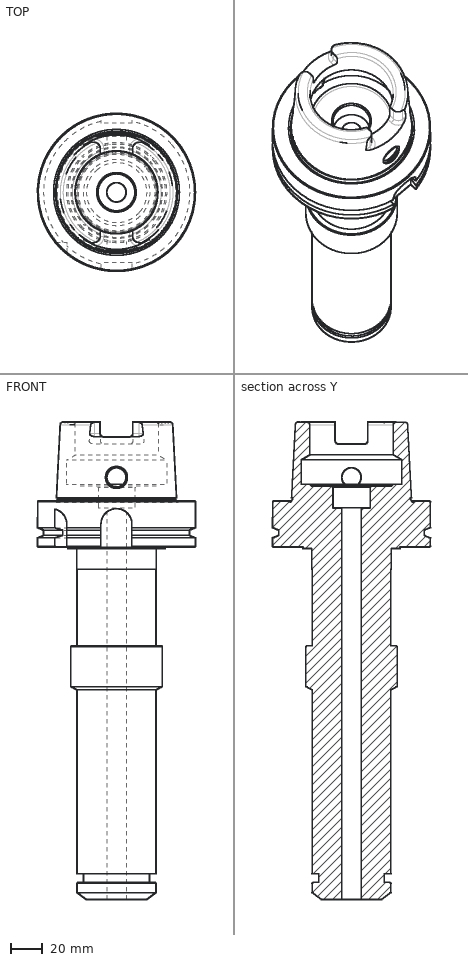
import cadquery as cq
import math


total_length = 302.0
taper_length = 49.8
flange_height = 29.3
flange_top = total_length - taper_length
flange_bottom = flange_top - flange_height

taper_base_radius = 38.0
taper_slope = 1 / 20
taper_neck_radius = 37.5
taper_neck_height = 1.8
taper_tip_radius = taper_base_radius - taper_slope * (taper_length - taper_neck_height)
rim_rounding = 1.8
relief_radius = 40.0
relief_floor_radius = 38.7
relief_top = 1.0
relief_depth = 1.0

lip_radius = 26.3
lip_depth = 20.8
recess_radius = 31.7
recess_cone_angle = 60
bore_floor = flange_top + 9.5
floor_rim_radius = 26.0
floor_rounding = 1.2
seat_radius = 25.0 / 2
seat_depth = 14.0
seat_chamfer = 1.0
through_radius = 12.0 / 2

flange_radius = 100.0 / 2
flange_chamfer = 0.5
groove_centre = flange_top - 20.2
groove_floor_radius = 46.2
groove_floor_width = 3.3
groove_mouth_width = 6.3
boss_radius = 30.8
boss_height = 1.0

shank_radius = 50.0 / 2
collar_radius = 58.0 / 2
collar_top = 160.7
collar_bottom = 134.7
collar_top_chamfer = 0.5
collar_cone_height = 2.0
upper_shank_radius = 50.5 / 2
upper_shank_bottom = 209.0
neck_radius = 42.0 / 2
neck_top = 16.3
neck_bottom = 11.2
head_top_chamfer = 1.0
tip_radius = 19.0
tip_cone_height = 4.5

drive_slot_half_width = 10.3
drive_slot_end_radius = 4.0
drive_slot_shoulder = 31.7
front_slot_depth = 9.5
rear_slot_depth = 14.0
slot_floor_rounding = 2.0

cross_hole_radius = 12.0 / 2
cross_hole_mouth_radius = 14.0 / 2
cross_hole_height = flange_top + 14.8
cross_hole_chamfer = cross_hole_mouth_radius - cross_hole_radius

notch_half_width = 19.5 / 2
notch_arc_height = 237.5
key_floor = 44.0
index_notch_edge = 31.5


def revolved_body():
    """Outer outline from the shank tip to the taper rim, then down the bore and the through hole."""
    arc_inset = rim_rounding * (1 - math.sqrt(0.5))
    floor_arc_inset = floor_rounding * (1 - math.sqrt(0.5))
    groove_floor_half = groove_floor_width / 2
    groove_mouth_half = groove_mouth_width / 2
    lip_bottom = total_length - lip_depth
    recess_cone_height = (recess_radius - lip_radius) / math.tan(math.radians(recess_cone_angle))
    outline = (
        cq.Workplane("XZ")
        .moveTo(through_radius, 0)
        .lineTo(tip_radius, 0)
        .lineTo(shank_radius, tip_cone_height)
        .lineTo(shank_radius, neck_bottom - head_top_chamfer)
        .lineTo(shank_radius - head_top_chamfer, neck_bottom)
        .lineTo(neck_radius, neck_bottom)
        .lineTo(neck_radius, neck_top)
        .lineTo(shank_radius, neck_top)
        .lineTo(shank_radius, collar_bottom - collar_cone_height)
        .lineTo(collar_radius, collar_bottom)
        .lineTo(collar_radius, collar_top - collar_top_chamfer)
        .lineTo(collar_radius - collar_top_chamfer, collar_top)
        .lineTo(shank_radius, collar_top)
        .lineTo(shank_radius, upper_shank_bottom)
        .lineTo(upper_shank_radius, upper_shank_bottom)
        .lineTo(upper_shank_radius, flange_bottom - boss_height)
        .lineTo(boss_radius, flange_bottom - boss_height)
        .lineTo(boss_radius, flange_bottom)
        .lineTo(flange_radius - flange_chamfer, flange_bottom)
        .lineTo(flange_radius, flange_bottom + flange_chamfer)
        .lineTo(flange_radius, groove_centre - groove_mouth_half)
        .lineTo(groove_floor_radius, groove_centre - groove_floor_half)
        .lineTo(groove_floor_radius, groove_centre + groove_floor_half)
        .lineTo(flange_radius, groove_centre + groove_mouth_half)
        .lineTo(flange_radius, flange_top - flange_chamfer)
        .lineTo(flange_radius - flange_chamfer, flange_top)
        .lineTo(relief_radius, flange_top)
        .lineTo(relief_floor_radius, flange_top - relief_depth)
        .lineTo(taper_neck_radius, flange_top + relief_top)
        .lineTo(taper_neck_radius, flange_top + taper_neck_height)
        .lineTo(taper_base_radius, flange_top + taper_neck_height)
        .lineTo(taper_tip_radius, total_length - rim_rounding)
        .threePointArc(
            (taper_tip_radius - arc_inset, total_length - arc_inset),
            (taper_tip_radius - rim_rounding, total_length),
        )
        .lineTo(lip_radius + rim_rounding, total_length)
        .threePointArc(
            (lip_radius + arc_inset, total_length - arc_inset),
            (lip_radius, total_length - rim_rounding),
        )
        .lineTo(lip_radius, lip_bottom)
        .lineTo(recess_radius, lip_bottom - recess_cone_height)
        .lineTo(recess_radius, bore_floor + floor_rounding)
        .lineTo(floor_rim_radius, bore_floor + floor_rounding)
        .threePointArc(
            (floor_rim_radius - floor_arc_inset, bore_floor + floor_arc_inset),
            (floor_rim_radius - floor_rounding, bore_floor),
        )
        .lineTo(seat_radius, bore_floor)
        .lineTo(seat_radius - seat_chamfer, bore_floor - seat_chamfer)
        .lineTo(seat_radius - seat_chamfer, bore_floor - seat_depth)
        .lineTo(through_radius, bore_floor - seat_depth)
        .close()
    )
    return outline.revolve(360, (0, 0, 0), (0, 1, 0))


def drive_slot(depth, side):
    """Cutter for one rim slot with rounded shoulders; side is -1 for the -Y slot and +1 for the +Y slot."""
    inner_end = lip_radius / 2
    outer_end = flange_radius
    outer_half_width = drive_slot_half_width + 2 * drive_slot_end_radius
    arc_start = drive_slot_shoulder - drive_slot_end_radius
    arc_end = drive_slot_half_width + drive_slot_end_radius
    cutter = (
        cq.Workplane("XY", origin=(0, 0, total_length - depth))
        .moveTo(-drive_slot_half_width, inner_end)
        .lineTo(drive_slot_half_width, inner_end)
        .lineTo(drive_slot_half_width, arc_start)
        .radiusArc((arc_end, drive_slot_shoulder), drive_slot_end_radius)
        .lineTo(outer_half_width, drive_slot_shoulder)
        .lineTo(outer_half_width, outer_end)
        .lineTo(-outer_half_width, outer_end)
        .lineTo(-outer_half_width, drive_slot_shoulder)
        .lineTo(-arc_end, drive_slot_shoulder)
        .radiusArc((-drive_slot_half_width, arc_start), drive_slot_end_radius)
        .close()
        .extrude(2 * depth)
        .faces("<Z")
        .edges()
        .fillet(slot_floor_rounding)
    )
    return cutter if side > 0 else cutter.mirror("XZ")


def cross_hole():
    """Cutter through the -Y wall of the taper only, countersunk on the outside."""
    wall_radius = taper_base_radius - taper_slope * (cross_hole_height - flange_top - taper_neck_height)
    inner_end = recess_radius - floor_rounding
    outline = (
        cq.Workplane("XY", origin=(0, 0, cross_hole_height))
        .moveTo(0, -inner_end)
        .lineTo(cross_hole_radius, -inner_end)
        .lineTo(cross_hole_radius, -wall_radius + 2 * cross_hole_chamfer)
        .lineTo(cross_hole_mouth_radius, -wall_radius + cross_hole_chamfer)
        .lineTo(cross_hole_mouth_radius, -flange_radius)
        .lineTo(0, -flange_radius)
        .close()
    )
    return outline.revolve(360, (0, 0, 0), (0, 1, 0))


def round_topped_notch(centre_x, floor_distance):
    """Cutter open at the flange underside, cut in from -Y to a flat floor at Y = -floor_distance."""
    bottom = flange_bottom - boss_height
    left = centre_x - notch_half_width
    right = centre_x + notch_half_width
    return (
        cq.Workplane("XZ", origin=(0, -floor_distance, 0))
        .moveTo(left, bottom)
        .lineTo(right, bottom)
        .lineTo(right, notch_arc_height)
        .threePointArc((centre_x, notch_arc_height + notch_half_width), (left, notch_arc_height))
        .close()
        .extrude(flange_radius)
    )


wall_hole = cross_hole()
key_notch = round_topped_notch(0, key_floor)
index_notch = round_topped_notch(-index_notch_edge - notch_half_width, index_notch_edge)

result = (
    revolved_body()
    .cut(drive_slot(front_slot_depth, -1))
    .cut(drive_slot(rear_slot_depth, 1))
    .cut(wall_hole)
    .cut(wall_hole.mirror("XZ"))
    .cut(key_notch)
    .cut(key_notch.mirror("XZ"))
    .cut(index_notch)
)